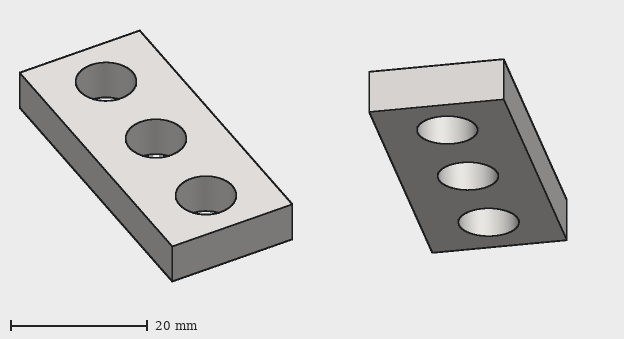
import cadquery as cq

length = 45.95
width = 20.1
thickness = 6.6

hole_diameter = 8.85
hole_pitch = 15.05
hole_count = 3

plate = cq.Workplane("XY").box(length, width, thickness)

result = (
    plate.faces(">Z")
    .workplane()
    .rarray(hole_pitch, width, hole_count, 1)
    .hole(hole_diameter)
)